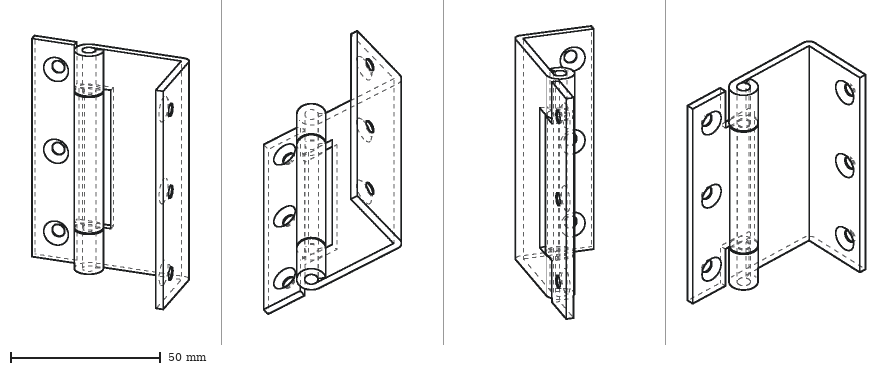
import cadquery as cq
import math

height = 80.0
overall_width = 55.6
overall_depth = 27.5
sheet = 2.6

pin_radius = 2.2
knuckle_radius = pin_radius + sheet
roll_end_angle = 26
end_knuckle_height = 14.6
knuckle_gap = 0.5
middle_knuckle_height = height - 2 * (end_knuckle_height + knuckle_gap)

back_y = knuckle_radius
plate_y = pin_radius
left_x = -21.0
right_x = left_x + overall_width
front_y = back_y - overall_depth
left_plate_width = 15.0
left_plate_edge_x = left_x + left_plate_width
notch_edge_x = 6.9
bend_radius = sheet

hole_diameter = 4.4
countersink_diameter = 8.7
countersink_angle = 90
hole_pitch = 30.0
hole_heights = [-hole_pitch, 0, hole_pitch]
left_hole_x = left_x + 8.6
right_hole_y = front_y + 7.4


def block(x_min, x_max, y_min, y_max, length):
    """Box between X and Y limits, centred on mid-height."""
    size_x = x_max - x_min
    size_y = y_max - y_min
    return cq.Workplane("XY").box(size_x, size_y, length).translate(
        ((x_min + x_max) / 2, (y_min + y_max) / 2, 0)
    )


def rolled_strip(plate_x, length):
    """Flat strip from plate_x to the axis, rolled round the pin until it nears its own plate."""
    side = math.copysign(1, plate_x)
    end_angle = math.radians(roll_end_angle)
    end_cos = side * math.cos(end_angle)
    end_sin = math.sin(end_angle)
    mid_angle = (math.pi / 2 + 2 * math.pi + end_angle) / 2
    mid_cos = side * math.cos(mid_angle)
    mid_sin = math.sin(mid_angle)
    return (
        cq.Workplane("XY", origin=(0, 0, -length / 2))
        .moveTo(plate_x, back_y)
        .lineTo(0, back_y)
        .threePointArc(
            (knuckle_radius * mid_cos, knuckle_radius * mid_sin),
            (knuckle_radius * end_cos, knuckle_radius * end_sin),
        )
        .lineTo(pin_radius * end_cos, pin_radius * end_sin)
        .threePointArc((pin_radius * mid_cos, pin_radius * mid_sin), (0, plate_y))
        .lineTo(plate_x, plate_y)
        .close()
        .extrude(length)
    )


def drill_screw_holes(leaf, workplane):
    """Drill the row of holes from the workplane, whose local Y runs along the height."""
    cutters = leaf.copyWorkplane(workplane).pushPoints([(0, z) for z in hole_heights])
    return cutters.cskHole(hole_diameter, countersink_diameter, countersink_angle, sheet)


def make_flat_leaf():
    """Narrow flat leaf carrying the middle knuckle."""
    plate = block(left_x, left_plate_edge_x, plate_y, back_y, height)
    leaf = plate.union(rolled_strip(left_plate_edge_x, middle_knuckle_height))
    return drill_screw_holes(leaf, cq.Workplane("XZ", origin=(left_hole_x, plate_y, 0)))


def make_angled_leaf():
    """L-shaped leaf carrying the two end knuckles."""
    leaf = block(notch_edge_x, right_x, plate_y, back_y, height)
    leaf = leaf.union(block(right_x - sheet, right_x, front_y, back_y, height))
    leaf = leaf.edges("|Z and >X and >Y").fillet(bend_radius)
    knuckle_offset = (height - end_knuckle_height) / 2
    for z in (-knuckle_offset, knuckle_offset):
        leaf = leaf.union(rolled_strip(notch_edge_x, end_knuckle_height).translate((0, 0, z)))
    inner_face = cq.Plane(
        origin=(right_x - sheet, right_hole_y, 0), xDir=(0, -1, 0), normal=(-1, 0, 0)
    )
    return drill_screw_holes(leaf, cq.Workplane(inner_face))


def make_pin():
    """Plain pin, flush with both ends of the hinge."""
    return cq.Workplane("XY").circle(pin_radius).extrude(height / 2, both=True)


flat_leaf = make_flat_leaf()
angled_leaf = make_angled_leaf()
pin = make_pin()

result = cq.Compound.makeCompound([flat_leaf.val(), angled_leaf.val(), pin.val()])